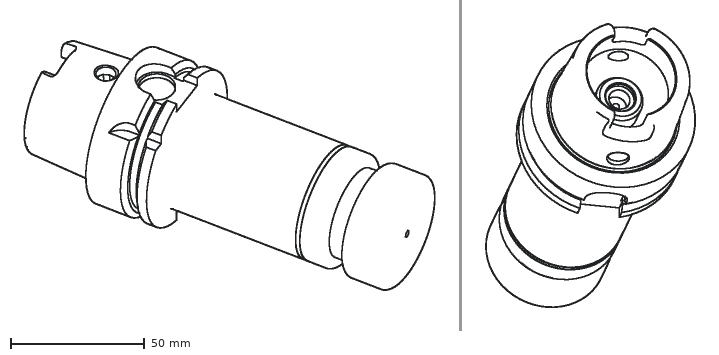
import cadquery as cq
import math


SHANK_LENGTH = 31.7
TOTAL_LENGTH = 152.0
NOSE_END = TOTAL_LENGTH - SHANK_LENGTH
FLANGE_WIDTH = 26.0
RING_GROOVE_START = 85.1
RING_GROOVE_WIDTH = 1.8
BODY_END = 96.8
COLLAR_START = 104.1

FLANGE_RADIUS = 31.5
BODY_RADIUS = 23.0
NECK_RADIUS = 18.0
RING_GROOVE_DEPTH = 0.15
BODY_FILLET = 3.0
BODY_END_ROUND = 2.0
COLLAR_RADIUS = BODY_RADIUS
COLLAR_ROUND = 2.0

TAPER_LARGE_RADIUS = 24.2
TAPER_RATIO = 1 / 20
TAPER_TOP_X = -1.7
TAPER_BAND_END_X = -1.0
SHANK_END_ROUND = 1.2
RELIEF_RADIUS = 23.5
FACE_RECESS_RADIUS = 25.5
FACE_RECESS_FLOOR_RADIUS = 24.7
FACE_RECESS_DEPTH = 0.5

GROOVE_RADIUS = 27.5
GROOVE_START = 16.6
GROOVE_WIDTH = 3.6
GROOVE_FLANK_WIDTH = 1.75
GROOVE_FLANK_DEPTH = 2.5

BORE_MOUTH_RADIUS = 17.4
BORE_RADIUS = 17.0
BORE_STRAIGHT_DEPTH = 12.7
UNDERCUT_RADIUS = 19.3
UNDERCUT_ANGLE = 60.0
BORE_FLOOR_RADIUS = 15.8
BORE_FLOOR_X = -2.0
NUT_RADIUS = 9.0
NUT_END_X = -12.7
NUT_CHAMFER = 1.0
NUT_CHAMFER_LENGTH = NUT_CHAMFER / math.tan(math.radians(30))
NUT_BORE_RADIUS = 6.0
NUT_SEAT_RADIUS = 5.65
NUT_SEAT_DEPTH = 2.0
NUT_INNER_RADIUS = 4.0
NUT_INNER_DEPTH = 8.0
COOLANT_HOLE_RADIUS = 1.25

DRIVE_SLOT_WIDTH = 12.54
DRIVE_SLOT_DEPTH_TOP = 6.2
DRIVE_SLOT_DEPTH_BOTTOM = 9.8
DRIVE_SLOT_FLOOR_ROUND = 1.8
DRIVE_SLOT_MOUTH_ROUND = 1.0
DRIVE_SLOT_FLARE = 3.0
DRIVE_SLOT_FLARE_Z = 17.9

RADIAL_HOLE_X = -8.7
RADIAL_HOLE_RADIUS = 3.75
RADIAL_SINK_RADIUS = 4.6

KEYWAY_WIDTH = 16.0
KEYWAY_START = 5.1
KEYWAY_FLOOR = 26.5
POCKET_RADIUS = 7.0
POCKET_DEPTH = 2.0
NOTCH_OFFSET = 20.0

CUT_MARGIN = 10.0
PICK_TOLERANCE = 0.1


def taper_radius(x):
    """Radius of the taper at station x."""
    return TAPER_LARGE_RADIUS + TAPER_RATIO * (x - TAPER_TOP_X)


def turned_about_x(profile):
    """Revolve a profile of (x, radius) points about the X axis."""
    return profile.close().revolve(360, (0, 0, 0), (1, 0, 0))


def make_blank():
    """Taper shank, flange, body, neck and collar as one turned solid."""
    end_radius = taper_radius(-SHANK_LENGTH)
    end_round_x = -SHANK_LENGTH + SHANK_END_ROUND
    groove_end = GROOVE_START + GROOVE_WIDTH
    flank_radius = FLANGE_RADIUS - GROOVE_FLANK_DEPTH
    ring_end = RING_GROOVE_START + RING_GROOVE_WIDTH
    ring_radius = BODY_RADIUS - RING_GROOVE_DEPTH
    profile = (
        cq.Workplane("XY")
        .moveTo(-SHANK_LENGTH, 0)
        .lineTo(-SHANK_LENGTH, end_radius - SHANK_END_ROUND)
        .radiusArc((end_round_x, taper_radius(end_round_x)), SHANK_END_ROUND)
        .lineTo(TAPER_TOP_X, TAPER_LARGE_RADIUS)
        .lineTo(TAPER_BAND_END_X, TAPER_LARGE_RADIUS)
        .lineTo(TAPER_BAND_END_X, RELIEF_RADIUS)
        .lineTo(FACE_RECESS_DEPTH, RELIEF_RADIUS)
        .lineTo(FACE_RECESS_DEPTH, FACE_RECESS_FLOOR_RADIUS)
        .lineTo(0, FACE_RECESS_RADIUS)
        .lineTo(0, FLANGE_RADIUS)
        .lineTo(GROOVE_START - GROOVE_FLANK_WIDTH, FLANGE_RADIUS)
        .lineTo(GROOVE_START, flank_radius)
        .lineTo(GROOVE_START, GROOVE_RADIUS)
        .lineTo(groove_end, GROOVE_RADIUS)
        .lineTo(groove_end, flank_radius)
        .lineTo(groove_end + GROOVE_FLANK_WIDTH, FLANGE_RADIUS)
        .lineTo(FLANGE_WIDTH, FLANGE_RADIUS)
        .lineTo(FLANGE_WIDTH, BODY_RADIUS + BODY_FILLET)
        .radiusArc((FLANGE_WIDTH + BODY_FILLET, BODY_RADIUS), -BODY_FILLET)
        .lineTo(RING_GROOVE_START, BODY_RADIUS)
        .lineTo(RING_GROOVE_START, ring_radius)
        .lineTo(ring_end, ring_radius)
        .lineTo(ring_end, BODY_RADIUS)
        .lineTo(BODY_END - BODY_END_ROUND, BODY_RADIUS)
        .radiusArc((BODY_END, BODY_RADIUS - BODY_END_ROUND), BODY_END_ROUND)
        .lineTo(BODY_END, NECK_RADIUS)
        .lineTo(COLLAR_START, NECK_RADIUS)
        .lineTo(COLLAR_START, COLLAR_RADIUS - COLLAR_ROUND)
        .radiusArc((COLLAR_START + COLLAR_ROUND, COLLAR_RADIUS), COLLAR_ROUND)
        .lineTo(NOSE_END - COLLAR_ROUND, COLLAR_RADIUS)
        .radiusArc((NOSE_END, COLLAR_RADIUS - COLLAR_ROUND), COLLAR_ROUND)
        .lineTo(NOSE_END, 0)
    )
    return turned_about_x(profile)


def make_bore():
    """Space inside the shank, round and inside the coolant nut."""
    mouth_chamfer = BORE_MOUTH_RADIUS - BORE_RADIUS
    undercut_start = -SHANK_LENGTH + BORE_STRAIGHT_DEPTH
    shoulder_length = (UNDERCUT_RADIUS - BORE_RADIUS) / math.tan(math.radians(UNDERCUT_ANGLE))
    floor_fillet = UNDERCUT_RADIUS - BORE_FLOOR_RADIUS
    seat_chamfer = NUT_BORE_RADIUS - NUT_SEAT_RADIUS
    profile = (
        cq.Workplane("XY")
        .moveTo(-SHANK_LENGTH, 0)
        .lineTo(-SHANK_LENGTH, BORE_MOUTH_RADIUS)
        .lineTo(-SHANK_LENGTH + mouth_chamfer, BORE_RADIUS)
        .lineTo(undercut_start, BORE_RADIUS)
        .lineTo(undercut_start + shoulder_length, UNDERCUT_RADIUS)
        .lineTo(BORE_FLOOR_X - floor_fillet, UNDERCUT_RADIUS)
        .radiusArc((BORE_FLOOR_X, BORE_FLOOR_RADIUS), floor_fillet)
        .lineTo(BORE_FLOOR_X, NUT_RADIUS)
        .lineTo(NUT_END_X + NUT_CHAMFER_LENGTH, NUT_RADIUS)
        .lineTo(NUT_END_X, NUT_RADIUS - NUT_CHAMFER)
        .lineTo(NUT_END_X, NUT_BORE_RADIUS)
        .lineTo(NUT_END_X + seat_chamfer, NUT_SEAT_RADIUS)
        .lineTo(NUT_END_X + NUT_SEAT_DEPTH, NUT_SEAT_RADIUS)
        .lineTo(NUT_END_X + NUT_SEAT_DEPTH, NUT_INNER_RADIUS)
        .lineTo(NUT_END_X + NUT_INNER_DEPTH, NUT_INNER_RADIUS)
        .lineTo(NUT_END_X + NUT_INNER_DEPTH, COOLANT_HOLE_RADIUS)
        .lineTo(NOSE_END, COOLANT_HOLE_RADIUS)
        .lineTo(NOSE_END, 0)
    )
    return turned_about_x(profile)


def make_drive_slot(depth):
    """Slot across the +Z wall of the shank end, flared outwards, with rounded floor and mouth edges."""
    half = DRIVE_SLOT_WIDTH / 2
    flare_half = half + DRIVE_SLOT_FLARE
    flare_top = DRIVE_SLOT_FLARE_Z + DRIVE_SLOT_FLARE
    inner_z = BORE_RADIUS - CUT_MARGIN
    outer_z = TAPER_LARGE_RADIUS + CUT_MARGIN
    front_x = -SHANK_LENGTH - CUT_MARGIN
    slot = (
        cq.Workplane("YZ", origin=(front_x, 0, 0))
        .moveTo(-half, inner_z)
        .lineTo(half, inner_z)
        .lineTo(half, DRIVE_SLOT_FLARE_Z)
        .radiusArc((flare_half, flare_top), DRIVE_SLOT_FLARE)
        .lineTo(flare_half, outer_z)
        .lineTo(-flare_half, outer_z)
        .lineTo(-flare_half, flare_top)
        .radiusArc((-half, DRIVE_SLOT_FLARE_Z), DRIVE_SLOT_FLARE)
        .close()
        .extrude(depth + CUT_MARGIN)
    )
    slot = slot.faces(">X").edges("not(<Z or >Z)").fillet(DRIVE_SLOT_FLOOR_ROUND)
    front_space = (
        cq.Workplane("YZ", origin=(front_x, 0, 0))
        .rect(2 * FLANGE_RADIUS, 2 * (outer_z + CUT_MARGIN))
        .extrude(CUT_MARGIN)
    )
    mouth_box = cq.selectors.BoxSelector(
        (-SHANK_LENGTH - PICK_TOLERANCE, -flare_half - PICK_TOLERANCE, inner_z + PICK_TOLERANCE),
        (-SHANK_LENGTH + PICK_TOLERANCE, flare_half + PICK_TOLERANCE, flare_top - PICK_TOLERANCE),
    )
    return front_space.union(slot).edges(mouth_box).fillet(DRIVE_SLOT_MOUTH_ROUND)


def make_radial_hole():
    """Countersunk hole through the +Z wall of the taper."""
    surface_z = taper_radius(RADIAL_HOLE_X)
    inner_z = (NUT_RADIUS + BORE_RADIUS) / 2
    sink_depth = RADIAL_SINK_RADIUS - RADIAL_HOLE_RADIUS
    return (
        cq.Workplane("XZ")
        .moveTo(0, inner_z)
        .lineTo(RADIAL_HOLE_RADIUS, inner_z)
        .lineTo(RADIAL_HOLE_RADIUS, surface_z - sink_depth)
        .lineTo(RADIAL_SINK_RADIUS + sink_depth, surface_z + sink_depth)
        .lineTo(0, surface_z + sink_depth)
        .close()
        .revolve(360, (0, 0, 0), (0, 1, 0))
        .translate((RADIAL_HOLE_X, 0, 0))
    )


def make_round_ended_slot(center_y, floor_z):
    """Slot along X open at the back of the flange, with a half-round front end."""
    radius = KEYWAY_WIDTH / 2
    height = FLANGE_RADIUS + CUT_MARGIN - floor_z
    center_x = KEYWAY_START + radius
    length = FLANGE_WIDTH - center_x
    end = cq.Workplane("XY", origin=(center_x, center_y, floor_z)).circle(radius).extrude(height)
    straight = (
        cq.Workplane("XY", origin=(center_x + length / 2, center_y, floor_z))
        .rect(length, KEYWAY_WIDTH)
        .extrude(height)
    )
    return end.union(straight)


def make_pocket():
    """Round data carrier pocket in the floor of the upper keyway."""
    center_x = KEYWAY_START + KEYWAY_WIDTH / 2
    floor_z = KEYWAY_FLOOR - POCKET_DEPTH
    return cq.Workplane("XY", origin=(center_x, 0, floor_z)).circle(POCKET_RADIUS).extrude(CUT_MARGIN)


def turned_over(tool):
    """The tool turned half a turn about X, to the -Z side."""
    return tool.rotate((0, 0, 0), (1, 0, 0), 180)


keyway = make_round_ended_slot(0, KEYWAY_FLOOR)
notch = make_round_ended_slot(-NOTCH_OFFSET - KEYWAY_WIDTH / 2, NOTCH_OFFSET)
radial_hole = make_radial_hole()

result = make_blank().cut(make_bore())
result = result.cut(make_drive_slot(DRIVE_SLOT_DEPTH_TOP))
result = result.cut(turned_over(make_drive_slot(DRIVE_SLOT_DEPTH_BOTTOM)))
result = result.cut(radial_hole).cut(turned_over(radial_hole))
result = result.cut(keyway).cut(turned_over(keyway))
result = result.cut(make_pocket())
result = result.cut(notch)